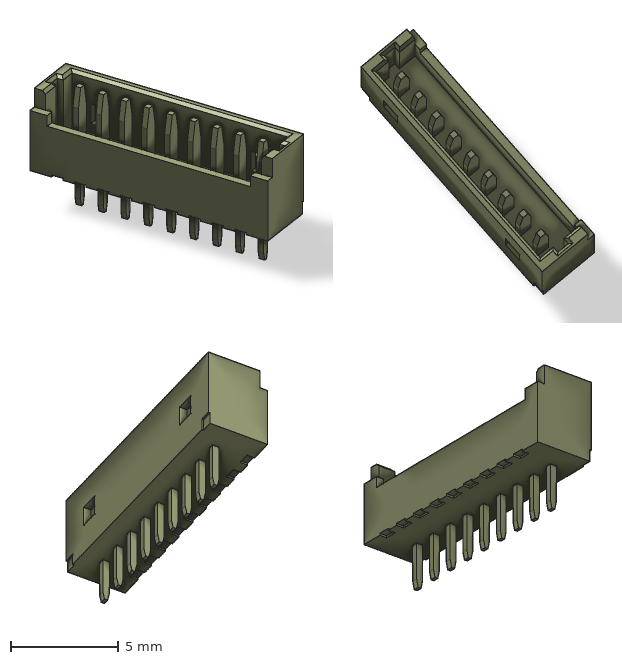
import cadquery as cq


housing_length = 13.0
housing_depth = 3.2
housing_height = 4.2
wall = 0.4
end_wall = 0.6
floor_thickness = 1.16
rim_chamfer = 0.15

slot_wall = 0.27
slot_front = 1.36
slot_back = 2.0

shoulder_drop = 1.0
shoulder_length = 0.95
front_wall_drop = 1.57

window_width = 1.0
window_bottom = 1.65
window_top = 2.7

notch_width = 0.62
notch_height = 0.1

relief_depth = 0.09
relief_height = 0.62

pin_count = 9
pin_end_inset = 1.5
pin_y = 2.0
pin_width = 0.3
blade_depth = 0.7
blade_tip_depth = 0.31
blade_top_gap = 0.2
blade_taper = 1.0
tail_depth = 0.35
tail_tip_depth = 0.17
tail_length = 2.3
tail_taper = 0.4

pin_pitch = (housing_length - 2 * pin_end_inset) / (pin_count - 1)
pin_positions = [(i - (pin_count - 1) / 2) * pin_pitch for i in range(pin_count)]


def block(x_range, y_range, z_range):
    """Box spanning the given ranges."""
    (x0, x1), (y0, y1), (z0, z1) = x_range, y_range, z_range
    return cq.Workplane("XY").box(x1 - x0, y1 - y0, z1 - z0, centered=False).translate((x0, y0, z0))


def centred(middle, width):
    """Range of the given width about a middle value."""
    return (middle - width / 2, middle + width / 2)


def make_cavity():
    """Mating cavity with its two guide slots."""
    half_cavity = housing_length / 2 - end_wall
    half_slots = housing_length / 2 - slot_wall
    back = housing_depth - wall
    right_side = [
        (half_cavity, wall),
        (half_cavity, slot_front),
        (half_slots, slot_front),
        (half_slots, slot_back),
        (half_cavity, slot_back),
        (half_cavity, back),
    ]
    left_side = [(-x, y) for x, y in reversed(right_side)]
    return (
        cq.Workplane("XY", origin=(0, 0, floor_thickness))
        .polyline(right_side + left_side).close()
        .extrude(housing_height - floor_thickness)
    )


def make_front_opening():
    """Material removed to lower the front wall and form the shoulders."""
    middle_length = housing_length - 2 * shoulder_length
    above_shoulders = block(
        centred(0, housing_length), (0, wall), (housing_height - shoulder_drop, housing_height)
    )
    above_wall = block(
        centred(0, middle_length), (0, wall), (housing_height - front_wall_drop, housing_height)
    )
    return above_shoulders.union(above_wall)


def make_housing():
    housing = block(centred(0, housing_length), (0, housing_depth), (0, housing_height))
    housing = housing.cut(make_cavity())

    mouth = housing.faces(">Z").val().innerWires()[0]
    housing = housing.newObject(mouth.Edges()).chamfer(rim_chamfer)
    housing = housing.cut(make_front_opening())

    window_offset = pin_positions[-1] - pin_pitch / 2
    for x in (-window_offset, window_offset):
        window = block(
            centred(x, window_width),
            (housing_depth - wall, housing_depth),
            (window_bottom, window_top),
        )
        housing = housing.cut(window)

    for x in pin_positions:
        notch = block(centred(x, notch_width), (0, wall), (0, notch_height))
        tail_hole = block(centred(x, pin_width), centred(pin_y, tail_depth), (0, floor_thickness))
        housing = housing.cut(notch).cut(tail_hole)

    relief_offset = (housing_length - end_wall) / 2
    for x in (-relief_offset, relief_offset):
        relief = block(
            centred(x, end_wall),
            (housing_depth - relief_depth, housing_depth),
            (0, relief_height),
        )
        housing = housing.cut(relief)
    return housing


def make_pin(x):
    """Flat pin: a wide tapered blade standing on the floor, a narrow tail below it."""
    blade_top = housing_height - blade_top_gap
    front_side = [
        (-tail_tip_depth / 2, -tail_length),
        (-tail_depth / 2, -tail_length + tail_taper),
        (-tail_depth / 2, floor_thickness),
        (-blade_depth / 2, floor_thickness),
        (-blade_depth / 2, blade_top - blade_taper),
        (-blade_tip_depth / 2, blade_top),
    ]
    back_side = [(-y, z) for y, z in reversed(front_side)]
    return (
        cq.Workplane("YZ", origin=(x, pin_y, 0))
        .polyline(front_side + back_side).close()
        .extrude(pin_width / 2, both=True)
    )


housing = make_housing()
pins = [make_pin(x) for x in pin_positions]

result = cq.Compound.makeCompound([housing.val(), *[pin.val() for pin in pins]])